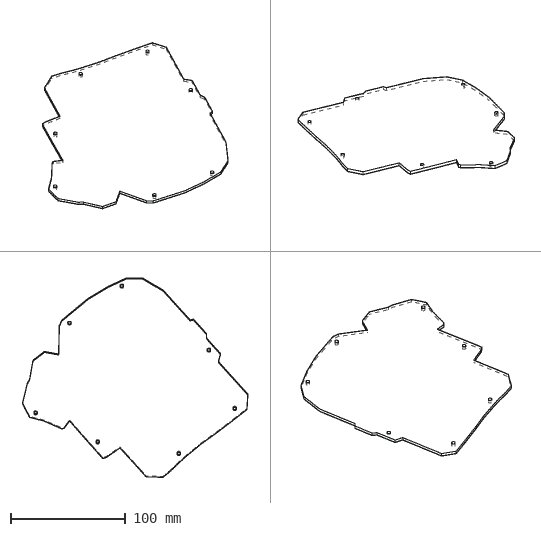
import cadquery as cq

LENGTH = 166.1
DEPTH = 165.6
THICKNESS = 3.0
HOLE_DIAMETER = 3.0

REAR_LEDGE_Y = 163.0
REAR_LEFT_Y = 156.8
FRONT_LEFT_Y = 41.2

WAIST_X = 2.3
FRONT_LEFT_X = 1.2

LEFT_SIDE = [
    (0, 147.7),
    (0, 145.4),
    (0.5, 129.4),
    (0.8, 122.0),
    (1.2, 113.6),
    (1.8, 104.2),
    (WAIST_X, 96.7),
    (WAIST_X, 78.4),
    (2.0, 70.8),
    (FRONT_LEFT_X, 61.5),
    (FRONT_LEFT_X, 52.0),
]

FRONT_EDGE = [
    (8.1, 44.4),
    (10.8, FRONT_LEFT_Y),
    (45.9, FRONT_LEFT_Y),
    (47.0, 26.7),
    (48.2, 23.6),
    (70.5, 23.8),
    (93.0, 24.1),
]

THUMB_LOBE = [
    (91.0, 16.0),
    (92.2, 14.3),
    (107.5, 7.3),
    (118.3, 0),
    (127.5, 2.2),
    (131.7, 3.5),
    (139.7, 14.5),
    (142.4, 18.0),
    (143.9, 22.1),
    (155.0, 35.5),
    (154.5, 48.5),
    (144.7, 56.2),
]

RIGHT_SIDE = [
    (163.8, 73.5),
    (LENGTH, 78.4),
    (LENGTH, 108.3),
    (163.1, 128.3),
    (158.5, 145.7),
    (148.9, 156.7),
    (129.0, REAR_LEDGE_Y),
]

REAR_EDGE = [
    (93.4, REAR_LEDGE_Y),
    (91.9, DEPTH),
    (74.6, DEPTH),
    (71.1, REAR_LEDGE_Y),
    (52.8, REAR_LEDGE_Y),
    (48.7, REAR_LEFT_Y),
    (9.3, REAR_LEFT_Y),
]

SCREW_HOLES = [
    (7.5, 139.9),
    (62.3, 157.7),
    (155.8, 138.5),
    (160.3, 82.2),
    (8.3, 76.5),
    (62.5, 29.9),
    (117.8, 6.5),
]


def make_plate():
    outline = LEFT_SIDE + FRONT_EDGE + THUMB_LOBE + RIGHT_SIDE + REAR_EDGE
    return cq.Workplane("XY").polyline(outline).close().extrude(THICKNESS)


def drill_screw_holes(plate):
    top = plate.faces(">Z").workplane(origin=(0, 0, THICKNESS))
    return top.pushPoints(SCREW_HOLES).hole(HOLE_DIAMETER)


result = drill_screw_holes(make_plate())